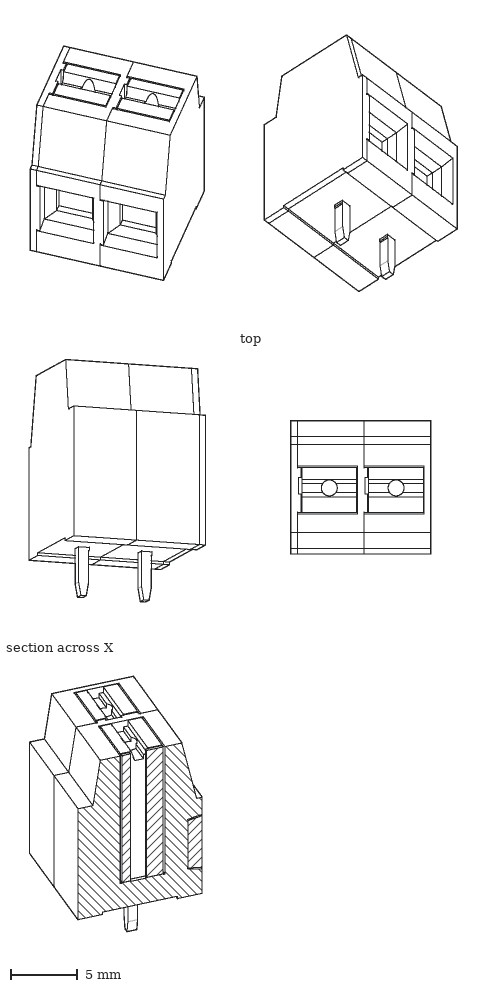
import cadquery as cq


POLE_COUNT = 2
PITCH = 5.0
PLATE_THICKNESS = 0.5
DEPTH = 10.0
HEIGHT = 13.8

FRONT_SHELF_HEIGHT = 8.6
FRONT_SHELF_DEPTH = 0.43
FRONT_TOP_SETBACK = 1.63
BACK_SHELF_HEIGHT = 9.91
BACK_SHELF_DEPTH = 1.2
BACK_TOP_SETBACK = 1.78
FOOT_LENGTH = 1.99
FOOT_HEIGHT = 0.2

BOSS_THICKNESS = 0.26
BOSS_GAP = 0.12
NOTCH_DEPTH = 0.19
NOTCH_FRONT = 4.5
NOTCH_LENGTH = 1.26

WALL = 0.5
CAVITY_WIDTH = PITCH - WALL
WINDOW_BOTTOM = 2.23
WINDOW_TOP = 7.02
WINDOW_DEPTH = 1.15
WINDOW_BOSS_GAP = 0.07
FUNNEL_BOTTOM = 2.45
FUNNEL_TOP = 6.85
FUNNEL_DEPTH = 0.38
FUNNEL_WIDTH = CAVITY_WIDTH - BOSS_THICKNESS
WIRE_HOLE_SIZE = 2.8
WIRE_HOLE_DEPTH = 0.54
WIRE_HOLE_CENTER_X = PITCH / 2
WIRE_HOLE_CENTER_Z = (FUNNEL_BOTTOM + FUNNEL_TOP) / 2

SHAFT_FRONT = 3.01
SHAFT_BACK = 6.6
SHAFT_FLOOR = FUNNEL_BOTTOM
INSERT_WIDTH = 4.1
INSERT_WALL_GAP = 0.05
INSERT_START = CAVITY_WIDTH - INSERT_WALL_GAP - INSERT_WIDTH
INSERT_GAP = BOSS_GAP

SLOT_FLOOR_FRONT = 4.62
SLOT_FLOOR_WIDTH = 0.7
SLOT_FLOOR_BACK = SLOT_FLOOR_FRONT + SLOT_FLOOR_WIDTH
SLOT_TOP_BACK = 5.6
SLOT_DEPTH = 0.88
LEDGE_FRONT = 4.27
LEDGE_DEPTH = 0.5
TEST_HOLE_DIAMETER = 1.2
TEST_HOLE_DEPTH = 1.73

PIN_SIZE = 0.8
PIN_LENGTH = 3.5
PIN_CENTER_X = 2.49
PIN_CENTER_Y = 4.8
PIN_TIP_WIDTH = 0.43
PIN_TAPER_LENGTH = 1.0
PIN_SHOULDER = 0.05
PIN_SHOULDER_CHAMFER_HEIGHT = 0.1


def side_prism(points, x_start, thickness):
    """Extrude a (Y, Z) outline along +X from x_start."""
    return cq.Workplane("YZ", origin=(x_start, 0, 0)).polyline(points).close().extrude(thickness)


def box(x_range, y_range, z_range):
    """Box between the given limits on each axis."""
    size = [limits[1] - limits[0] for limits in (x_range, y_range, z_range)]
    corner = (x_range[0], y_range[0], z_range[0])
    return cq.Workplane("XY").box(*size, centered=False).translate(corner)


def shell_slab(x_start, thickness):
    """Slab with the full outer side profile, standing on two feet."""
    outline = [
        (0, 0),
        (0, FRONT_SHELF_HEIGHT),
        (FRONT_SHELF_DEPTH, FRONT_SHELF_HEIGHT),
        (FRONT_TOP_SETBACK, HEIGHT),
        (DEPTH - BACK_TOP_SETBACK, HEIGHT),
        (DEPTH - BACK_SHELF_DEPTH, BACK_SHELF_HEIGHT),
        (DEPTH, BACK_SHELF_HEIGHT),
        (DEPTH, 0),
        (DEPTH - FOOT_LENGTH, 0),
        (DEPTH - FOOT_LENGTH, FOOT_HEIGHT),
        (FOOT_LENGTH, FOOT_HEIGHT),
        (FOOT_LENGTH, 0),
    ]
    return side_prism(outline, x_start, thickness)


def window_outline(gap):
    """Side outline of the flared window, shrunk in height by the given gap."""
    return [
        (0, WINDOW_BOTTOM + gap),
        (WINDOW_DEPTH, FUNNEL_BOTTOM + gap),
        (WINDOW_DEPTH, FUNNEL_TOP - gap),
        (0, WINDOW_TOP - gap),
    ]


def closing_bosses(x_start):
    """Bosses on the +X face of a slab that plug the next pole's window and shaft."""
    boss_end = x_start + BOSS_THICKNESS
    window_boss = side_prism(window_outline(WINDOW_BOSS_GAP), x_start, BOSS_THICKNESS)
    shaft_boss = box(
        (x_start, boss_end),
        (SHAFT_FRONT + BOSS_GAP, SHAFT_BACK - BOSS_GAP),
        (SHAFT_FLOOR, HEIGHT),
    )
    notch = box(
        (boss_end - NOTCH_DEPTH, boss_end),
        (NOTCH_FRONT, NOTCH_FRONT + NOTCH_LENGTH),
        (SHAFT_FLOOR, HEIGHT),
    )
    return window_boss, shaft_boss.cut(notch)


def with_bosses(slab, x_start):
    """Add the closing bosses to a slab whose +X face is at x_start."""
    for boss in closing_bosses(x_start):
        slab = slab.union(boss)
    return slab


def make_end_plate():
    """Plate that closes the -X side of the first pole."""
    return with_bosses(shell_slab(0, PLATE_THICKNESS), PLATE_THICKNESS)


def make_pole_housing(x_start, has_bosses):
    """Pole housing, open on its -X side, with a pin hole through its floor."""
    window = side_prism(window_outline(0), x_start, CAVITY_WIDTH)
    shaft = box(
        (x_start, x_start + CAVITY_WIDTH),
        (SHAFT_FRONT, SHAFT_BACK),
        (SHAFT_FLOOR, HEIGHT),
    )
    housing = shell_slab(x_start, PITCH)
    for opening in (window, wire_funnel(x_start), wire_hole(x_start), shaft, make_pin(x_start)):
        housing = housing.cut(opening)
    if has_bosses:
        housing = with_bosses(housing, x_start + PITCH)
    return housing


def wire_funnel(x_start):
    """Funnel from the back of the window down to the square wire hole."""
    mouth_x = x_start + CAVITY_WIDTH - FUNNEL_WIDTH / 2
    hole_x = x_start + WIRE_HOLE_CENTER_X
    return (
        cq.Workplane("XZ", origin=(mouth_x, WINDOW_DEPTH, WIRE_HOLE_CENTER_Z))
        .rect(FUNNEL_WIDTH, FUNNEL_TOP - FUNNEL_BOTTOM)
        .workplane(offset=-FUNNEL_DEPTH)
        .center(hole_x - mouth_x, 0)
        .rect(WIRE_HOLE_SIZE, WIRE_HOLE_SIZE)
        .loft(ruled=True)
    )


def wire_hole(x_start):
    """Square blind hole behind the funnel."""
    origin = (x_start + WIRE_HOLE_CENTER_X, WINDOW_DEPTH + FUNNEL_DEPTH, WIRE_HOLE_CENTER_Z)
    section = cq.Workplane("XZ", origin=origin).rect(WIRE_HOLE_SIZE, WIRE_HOLE_SIZE)
    return section.extrude(-WIRE_HOLE_DEPTH)


def make_insert(x_start):
    """Block standing in the shaft, with a slot and a test hole in its top."""
    left = x_start + INSERT_START
    block = box(
        (left, left + INSERT_WIDTH),
        (SHAFT_FRONT + INSERT_GAP, SHAFT_BACK - INSERT_GAP),
        (SHAFT_FLOOR, HEIGHT),
    )
    return block.cut(top_slot(left)).cut(test_hole(left + INSERT_WIDTH / 2))


def top_slot(left):
    """Slot along X with a sloped back wall and a ledge along its front."""
    outline = [
        (LEDGE_FRONT, HEIGHT),
        (LEDGE_FRONT, HEIGHT - LEDGE_DEPTH),
        (SLOT_FLOOR_FRONT, HEIGHT - LEDGE_DEPTH),
        (SLOT_FLOOR_FRONT, HEIGHT - SLOT_DEPTH),
        (SLOT_FLOOR_BACK, HEIGHT - SLOT_DEPTH),
        (SLOT_TOP_BACK, HEIGHT),
    ]
    return side_prism(outline, left, INSERT_WIDTH)


def test_hole(center_x):
    """Blind round hole centred on the slot floor."""
    center_y = (SLOT_FLOOR_FRONT + SLOT_FLOOR_BACK) / 2
    top = cq.Workplane("XY", origin=(center_x, center_y, HEIGHT))
    return top.circle(TEST_HOLE_DIAMETER / 2).extrude(-TEST_HOLE_DEPTH)


def make_pin(x_start):
    """Square pin with a tapered tip and a chamfered shoulder on its -X side."""
    half = PIN_SIZE / 2
    half_tip = PIN_TIP_WIDTH / 2
    taper_top = PIN_TAPER_LENGTH - PIN_LENGTH
    outline = [
        (-half_tip, -PIN_LENGTH),
        (half_tip, -PIN_LENGTH),
        (half, taper_top),
        (half, SHAFT_FLOOR),
        (-half - PIN_SHOULDER, SHAFT_FLOOR),
        (-half - PIN_SHOULDER, 0),
        (-half, -PIN_SHOULDER_CHAMFER_HEIGHT),
        (-half, taper_top),
    ]
    back = cq.Workplane("XZ", origin=(x_start + PIN_CENTER_X, PIN_CENTER_Y + half, 0))
    return back.polyline(outline).close().extrude(PIN_SIZE)


end_plate = make_end_plate()

pole_housings = []
inserts = []
pins = []
for pole in range(POLE_COUNT):
    pole_start = PLATE_THICKNESS + pole * PITCH
    is_last = pole == POLE_COUNT - 1
    pole_housings.append(make_pole_housing(pole_start, has_bosses=not is_last).val())
    inserts.append(make_insert(pole_start).val())
    pins.append(make_pin(pole_start).val())

result = cq.Compound.makeCompound([end_plate.val(), *pole_housings, *inserts, *pins])